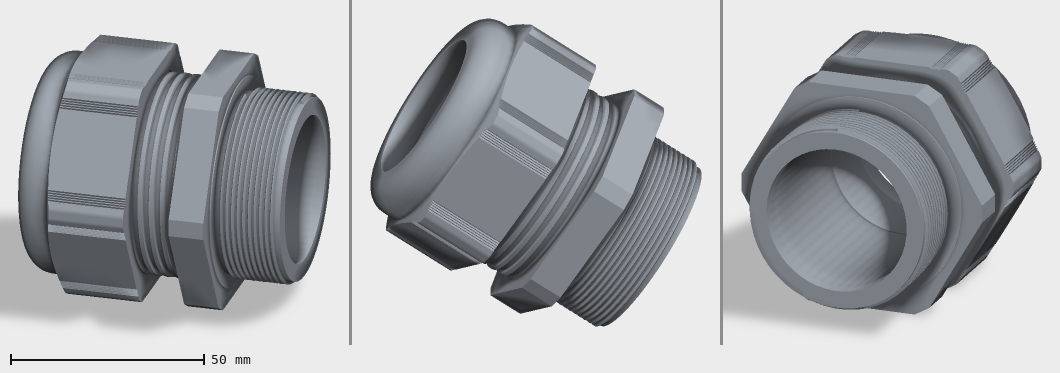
import cadquery as cq
import math

total_length = 70.5
hex_across_flats = 60.2
hex_sides = 6
hex_turn = 360 / hex_sides
hex_cosine = math.cos(math.radians(hex_turn / 2))

nut_end = 31.0
nut_across_corners = 67.7
nut_corner_radius = 2.05
nut_corner_recess = 0.1
cap_diameter = 58.1
cap_rounding = 6.2
mouth_diameter = 39.8
mouth_length = 0.9
bevel_start = 9.1
bevel_end = 11.0
thread_bore = 53.3

groove_angle = 60
groove_width = 0.62
groove_depth = groove_width / 2 / math.tan(math.radians(groove_angle / 2))
grooves_per_band = 5
groove_band_start = 10.6
groove_band_end = groove_band_start + grooves_per_band * groove_width

sleeve_start = 7.3
sleeve_diameter = 45.1
sleeve_hole = 38.3
shoulder_position = 24.5
body_hole = 38.9
neck_diameter = 51.0
flange_start = 43.2
flange_end = 52.5
flange_across_corners = 66.8
collar_diameter = 55.6
collar_end = 52.9
spigot_diameter = 48.15

thread_root_embed = 0.15
neck_thread_diameter = 53.0
neck_thread_pitch = 2.995
neck_thread_start = 26.7
neck_thread_turns = 6
neck_ridge_base = 1.75
neck_ridge_crest = 1.1
spigot_thread_diameter = 50.0
spigot_thread_pitch = 1.5
spigot_thread_start = 54.35
spigot_thread_turns = 10
spigot_ridge_base = 1.2
spigot_ridge_crest = 0.3


def cylinder(diameter, start, end):
    return cq.Workplane("YZ").workplane(offset=start).circle(diameter / 2).extrude(end - start)


def hex_prism(across_flats, start, end, turn):
    """Hexagonal prism along X; a turn of 0 degrees puts two corners on the Y axis."""
    across_points = across_flats / hex_cosine
    prism = cq.Workplane("YZ").workplane(offset=start).polygon(hex_sides, across_points).extrude(end - start)
    return prism.rotate((0, 0, 0), (1, 0, 0), turn)


def blunt_hex(across_flats, across_corners, start, end):
    """Hexagonal prism whose six corners are cut flat to the given width."""
    corner_cutter = hex_prism(across_corners, start, end, hex_turn / 2)
    return hex_prism(across_flats, start, end, 0).intersect(corner_cutter)


def revolve_about_x(profile):
    return profile.close().revolve(360, (0, 0, 0), (1, 0, 0))


def helical_ridge(root_diameter, crest_diameter, pitch, start, turns, base_width, crest_width):
    """One right-handed thread ridge along X with a trapezoid section."""
    root_radius = root_diameter / 2 - thread_root_embed
    crest_radius = crest_diameter / 2
    path = cq.Wire.makeHelix(pitch, pitch * turns, root_radius)
    section = cq.Workplane("XZ").polyline([
        (root_radius, -base_width / 2),
        (crest_radius, -crest_width / 2),
        (crest_radius, crest_width / 2),
        (root_radius, base_width / 2),
    ]).close()
    ridge = section.sweep(cq.Workplane(path), isFrenet=True)
    along_x = ridge.rotate((0, 0, 0), (0, 1, 0), 90).rotate((0, 0, 0), (1, 0, 0), 180)
    return along_x.translate((start, 0, 0))


def grip_grooves():
    """V grooves of the upper flat, as one cutting tool."""
    flat_height = hex_across_flats / 2
    band = cq.Workplane("YZ").workplane(offset=bevel_start)
    for index in range(grooves_per_band):
        near_edge = groove_band_start + index * groove_width
        for side in (-1, 1):
            band = band.polyline([
                (side * near_edge, flat_height),
                (side * (near_edge + groove_width), flat_height),
                (side * (near_edge + groove_width / 2), flat_height - groove_depth),
            ]).close()
    return band.extrude(nut_end - bevel_start)


def raised_pad():
    """Slightly raised middle of the upper flat; the nut's corners lie below it."""
    height = hex_across_flats / 2
    pad = cq.Workplane("XY").box(
        nut_end - bevel_start, 2 * groove_band_end, height, centered=(False, True, False))
    return pad.translate((bevel_start, 0, 0))


def nut_hexagon():
    """Hexagon with rounded blunt corners and a grooved pad on each flat."""
    recessed_flats = hex_across_flats - 2 * nut_corner_recess
    hexagon = blunt_hex(recessed_flats, nut_across_corners, bevel_start, nut_end)
    hexagon = hexagon.edges("|X").fillet(nut_corner_radius)
    pad = raised_pad()
    grooves = grip_grooves()
    for side in range(hex_sides):
        turn = hex_turn * side
        hexagon = hexagon.union(pad.rotate((0, 0, 0), (1, 0, 0), turn))
        hexagon = hexagon.cut(grooves.rotate((0, 0, 0), (1, 0, 0), turn))
    return hexagon


def nut_outside():
    """Grooved hexagon, bevelled by a cone towards the rounded cap; behind the cone the envelope is oversize."""
    bevel_envelope = revolve_about_x(cq.Workplane("XY").polyline([
        (bevel_start, 0),
        (bevel_start, cap_diameter / 2),
        (bevel_end, nut_across_corners / 2),
        (bevel_end, hex_across_flats),
        (nut_end, hex_across_flats),
        (nut_end, 0),
    ]))
    cap = cylinder(cap_diameter, 0, bevel_end).faces("<X").edges().fillet(cap_rounding)
    return nut_hexagon().intersect(bevel_envelope).union(cap)


def nut_cavity():
    """Narrow mouth, a rounded flare, the bore around the sleeve and the wider bore around the thread."""
    mouth_radius = mouth_diameter / 2
    sleeve_radius = sleeve_diameter / 2
    return revolve_about_x(
        cq.Workplane("XY")
        .moveTo(0, 0)
        .lineTo(0, mouth_radius)
        .lineTo(mouth_length, mouth_radius)
        .tangentArcPoint((sleeve_start, sleeve_radius), relative=False)
        .lineTo(shoulder_position, sleeve_radius)
        .lineTo(shoulder_position, thread_bore / 2)
        .lineTo(nut_end, thread_bore / 2)
        .lineTo(nut_end, 0)
    )


def clamping_nut():
    return nut_outside().cut(nut_cavity())


def threaded_neck():
    """Neck with its coarse thread; both run on into the flange."""
    ridge = helical_ridge(
        neck_diameter, neck_thread_diameter, neck_thread_pitch,
        neck_thread_start, neck_thread_turns, neck_ridge_base, neck_ridge_crest,
    )
    return cylinder(neck_diameter, shoulder_position, flange_end).union(ridge)


def threaded_spigot():
    """Connection spigot with its fine thread; it starts inside the flange."""
    ridge = helical_ridge(
        spigot_diameter, spigot_thread_diameter, spigot_thread_pitch,
        spigot_thread_start, spigot_thread_turns, spigot_ridge_base, spigot_ridge_crest,
    )
    return cylinder(spigot_diameter, flange_start, total_length).union(ridge)


def gland_body():
    sleeve = cylinder(sleeve_diameter, sleeve_start, flange_end)
    flange = blunt_hex(hex_across_flats, flange_across_corners, flange_start, flange_end)
    collar = cylinder(collar_diameter, flange_end, collar_end)
    body = threaded_neck().union(sleeve).union(flange).union(collar).union(threaded_spigot())
    body = body.cut(cylinder(sleeve_hole, sleeve_start, shoulder_position))
    return body.cut(cylinder(body_hole, shoulder_position, total_length))


nut = clamping_nut()
body = gland_body()
result = cq.Compound.makeCompound([nut.val(), body.val()])